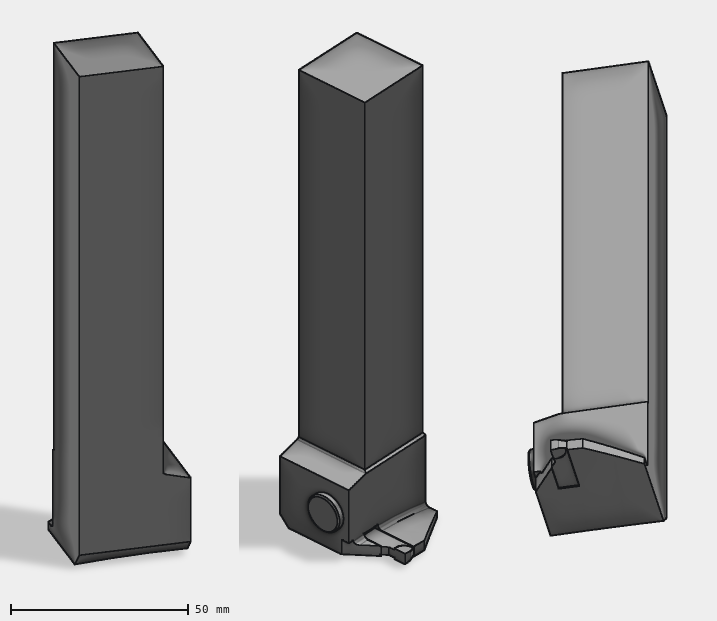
import cadquery as cq
import math


total_height = 152.3
shank_side = 24.8
head_width = 25.9
head_depth = 32.9
head_height = 26.3
head_back_height = 24.4
collar_height = 0.5
collar_depth = 25.6
corner_chamfer_x = 4.4
corner_chamfer_z = 4.7

overall_width = 40.0
edge_height_y = 25.0
blade_bottom_z = 1.4
blade_top_z = 4.9
blade_top_drop = 2.6
root_radius = 1.4
blade_front_x = -39.3
blade_corner_y = 15.8
blade_foot_x = -30.2
jaw_tip_x = -32.3
jaw_end_x = -23.1

insert_bottom_y = 20.4
insert_top_y = 26.3
insert_end_x = -22.8
insert_bottom_z = 1.8
insert_top_z = 4.5
insert_heel_x = -39.5
clearance_start_y = 22.7
rake_end_x = -34.0
tip_back_x = -36.0
tip_corner_y = 23.0
tip_foot_y = 20.9
tip_bulge_x = -36.9
tip_bulge_y = 21.6
tip_overhang = 0.5

screw_diameter = 11.9
screw_x = -18.0
screw_z = 13.7
screw_top_y = 35.0
screw_chamfer = 0.5

margin = 7.6

slot_top_z = blade_top_z + root_radius


def arc_z(y, crest_z, drop):
    """Height at y of an arc that crests at the cutting edge and falls by drop at y = 0."""
    radius = (edge_height_y**2 + drop**2) / (2 * drop)
    return crest_z - radius + math.sqrt(radius**2 - (y - edge_height_y) ** 2)


def prism_z(points, bottom_z, top_z):
    """Upright prism over a plan outline."""
    return cq.Workplane("XY", origin=(0, 0, bottom_z)).polyline(points).close().extrude(top_z - bottom_z)


def make_shank():
    return cq.Workplane("XY").box(
        shank_side, shank_side, total_height - corner_chamfer_z, centered=False
    ).translate((-shank_side, 0, corner_chamfer_z))


def make_head():
    """Head block with a sloping top behind the shank and an arched underside."""
    return (
        cq.Workplane("YZ", origin=(-head_width, 0, 0))
        .moveTo(0, 0)
        .threePointArc(
            (edge_height_y, blade_bottom_z),
            (head_depth, arc_z(head_depth, blade_bottom_z, blade_bottom_z)),
        )
        .lineTo(head_depth, head_back_height)
        .lineTo(collar_depth, head_height)
        .lineTo(0, head_height)
        .close()
        .extrude(head_width)
    )


def make_collar():
    """Sloped ledge where the head narrows to the shank."""
    return (
        cq.Workplane("XY", origin=(0, 0, head_height))
        .polyline([(-head_width, 0), (0, 0), (0, collar_depth), (-head_width, collar_depth)])
        .close()
        .workplane(offset=collar_height)
        .polyline([(-shank_side, 0), (0, 0), (0, shank_side), (-shank_side, shank_side)])
        .close()
        .loft(ruled=True)
    )


def make_blade():
    """Untrimmed blade: a band between two arcs, running out from the head."""
    return (
        cq.Workplane("YZ", origin=(blade_front_x, 0, 0))
        .moveTo(0, 0)
        .threePointArc(
            (edge_height_y, blade_bottom_z),
            (head_depth, arc_z(head_depth, blade_bottom_z, blade_bottom_z)),
        )
        .lineTo(head_depth, arc_z(head_depth, blade_top_z, blade_top_drop))
        .threePointArc(
            (edge_height_y, blade_top_z),
            (0, arc_z(0, blade_top_z, blade_top_drop)),
        )
        .close()
        .extrude(-head_width - blade_front_x)
    )


def make_lower_trim():
    """Wedge that cuts the lower slope of the blade."""
    points = [(blade_foot_x, 0), (blade_front_x, blade_corner_y), (blade_front_x, 0)]
    return prism_z(points, -margin, slot_top_z)


def make_upper_trim():
    """Wedge that cuts the upper slope of the blade and undercuts the head."""
    points = [
        (jaw_tip_x, insert_top_y),
        (jaw_end_x, head_depth),
        (blade_front_x, head_depth),
        (blade_front_x, insert_top_y),
    ]
    return prism_z(points, -margin, slot_top_z)


def make_insert_slot():
    """Seat of the insert, open below and with clearance above."""
    points = [
        (blade_front_x - margin, insert_bottom_y),
        (insert_end_x, insert_bottom_y),
        (insert_end_x, insert_top_y),
        (blade_front_x - margin, insert_top_y),
    ]
    return prism_z(points, -margin, slot_top_z)


def make_corner_trim():
    """Wedge that bevels the lower +X corner of the head."""
    return (
        cq.Workplane("XZ")
        .polyline([(-corner_chamfer_x, 0), (0, corner_chamfer_z), (0, 0)])
        .close()
        .extrude(-head_depth)
    )


def make_screw_head():
    return (
        cq.Workplane("XZ", origin=(screw_x, head_depth, screw_z))
        .circle(screw_diameter / 2)
        .extrude(head_depth - screw_top_y)
        .faces(">Y")
        .chamfer(screw_chamfer)
    )


def make_holder():
    """Shank, head, blade and screw head in one solid."""
    root_corner = cq.selectors.BoxSelector(
        (-head_width - root_radius / 2, -margin, blade_top_z - blade_top_drop - root_radius / 2),
        (-head_width + root_radius / 2, head_depth + margin, slot_top_z),
    )
    body = make_head().union(make_blade()).edges(root_corner).edges("not #X").fillet(root_radius)
    body = body.cut(make_lower_trim()).cut(make_upper_trim())
    body = body.cut(make_insert_slot()).cut(make_corner_trim())
    return body.union(make_collar()).union(make_shank()).union(make_screw_head())


def make_insert_tip():
    """Widened tip whose two sides draw in with distance from the rake face."""
    outline = (
        cq.Workplane("XY", origin=(0, 0, insert_bottom_z - tip_overhang))
        .moveTo(-overall_width, edge_height_y)
        .lineTo(tip_back_x, edge_height_y)
        .lineTo(tip_back_x, tip_corner_y)
        .threePointArc((tip_bulge_x, tip_bulge_y), (insert_heel_x, tip_foot_y))
        .lineTo(-overall_width, clearance_start_y)
        .close()
        .extrude(insert_top_z - insert_bottom_z + 2 * tip_overhang)
    )
    side_relief = (
        cq.Workplane("YZ", origin=(-overall_width, 0, 0))
        .polyline([
            (edge_height_y, insert_bottom_z - tip_overhang),
            (edge_height_y, insert_top_z + tip_overhang),
            (insert_bottom_y, insert_top_z),
            (insert_bottom_y, insert_bottom_z),
        ])
        .close()
        .extrude(overall_width)
    )
    return outline.intersect(side_relief)


def make_insert():
    """Bar that lies in the slot, with a step down to the rake face at its tip."""
    outline = [
        (insert_end_x, insert_bottom_y),
        (insert_end_x, insert_top_y),
        (jaw_tip_x, insert_top_y),
        (rake_end_x, edge_height_y),
        (-overall_width, edge_height_y),
        (-overall_width, clearance_start_y),
        (insert_heel_x, insert_bottom_y),
    ]
    return prism_z(outline, insert_bottom_z, insert_top_z).union(make_insert_tip())


holder = make_holder()
insert = make_insert()

result = cq.Compound.makeCompound([holder.val(), insert.val()])